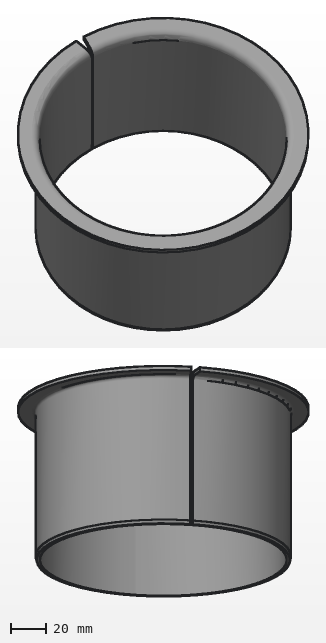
import cadquery as cq

flange_diameter = 165.0
tube_diameter = 145.0
wall = 2.5
height = 90.0
bend_outer_radius = 2.0
lead_in_height = 2.0
lead_in_depth = 0.7
bore_gap = 0.8
rim_gap = 5.1

flange_radius = flange_diameter / 2
tube_radius = tube_diameter / 2
bore_radius = tube_radius - wall
bend_inner_radius = bend_outer_radius + wall
flange_underside = height - wall
bend_start = flange_underside - bend_outer_radius


def flanged_sleeve():
    """Tube whose wall bends outward into the flange, tapered at its foot."""
    profile = (
        cq.Workplane("XZ")
        .moveTo(bore_radius, 0)
        .lineTo(tube_radius - lead_in_depth, 0)
        .lineTo(tube_radius, lead_in_height)
        .lineTo(tube_radius, bend_start)
        .radiusArc((tube_radius + bend_outer_radius, flange_underside), bend_outer_radius)
        .lineTo(flange_radius, flange_underside)
        .lineTo(flange_radius, height)
        .lineTo(bore_radius + bend_inner_radius, height)
        .radiusArc((bore_radius, bend_start), -bend_inner_radius)
        .close()
    )
    return profile.revolve(360, (0, 0, 0), (0, 1, 0))


def split():
    """Full-height wedge on the -X side, widening from the bore to the flange rim."""
    taper = (rim_gap - bore_gap) / (flange_radius - bore_radius)
    reach = flange_radius + wall
    reach_gap = bore_gap + taper * (reach - bore_radius)
    inner_reach = bore_radius - wall
    return (
        cq.Workplane("XY")
        .polyline([
            (-inner_reach, -bore_gap / 2),
            (-bore_radius, -bore_gap / 2),
            (-reach, -reach_gap / 2),
            (-reach, reach_gap / 2),
            (-bore_radius, bore_gap / 2),
            (-inner_reach, bore_gap / 2),
        ])
        .close()
        .extrude(height)
    )


result = flanged_sleeve().cut(split())